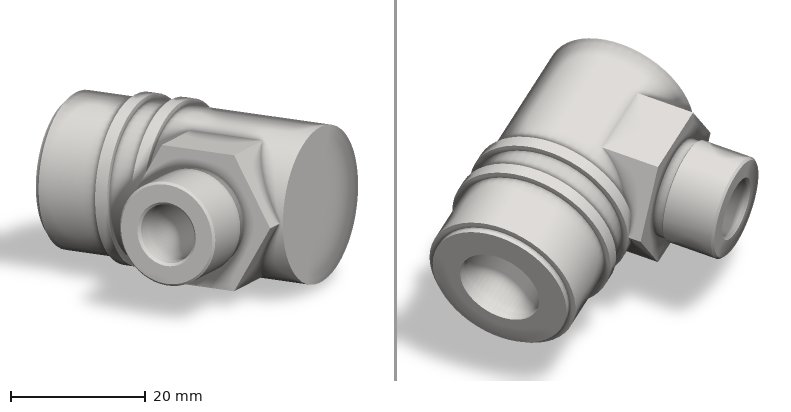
import cadquery as cq
import math

barrel_length = 42.0
barrel_diameter = 24.0
ring_diameter = 26.0
ring_width = 2.0
ring_starts = (11.0, 17.0)

sleeve_diameter = 22.0
sleeve_bore_diameter = 13.0
sleeve_projection = 1.0
sleeve_end = 15.0

port_x = 29.33
hex_across_flats = 21.0
hex_across_corners = hex_across_flats / math.cos(math.pi / 6)
hex_face = 15.0
neck_diameter = 15.4
neck_end = 16.53
spigot_diameter = 16.0
spigot_end = 25.0
spigot_shoulder = 0.2
spigot_chamfer = 0.35

passage_diameter = 9.0
passage_chamfer = 0.4


def barrel_cylinder(diameter, start, end):
    """Cylinder on the barrel axis between two X positions."""
    return cq.Workplane("YZ", origin=(start, 0, 0)).circle(diameter / 2).extrude(end - start)


def port_plane(distance):
    """Plane across the port axis, facing outward, at a distance from the barrel axis."""
    return cq.Workplane("XZ", origin=(port_x, -distance, 0))


def make_port():
    """Hexagon with a round spigot that has a narrow neck, a sloped shoulder and a chamfered tip."""
    hexagon = port_plane(0).polygon(6, hex_across_corners).extrude(hex_face)
    neck_radius = neck_diameter / 2
    spigot_radius = spigot_diameter / 2
    half_profile = [
        (0, -hex_face),
        (neck_radius, -hex_face),
        (neck_radius, -neck_end),
        (spigot_radius, -neck_end - spigot_shoulder),
        (spigot_radius, -spigot_end + spigot_chamfer),
        (spigot_radius - spigot_chamfer, -spigot_end),
        (0, -spigot_end),
    ]
    spigot = cq.Workplane("XY", origin=(port_x, 0, 0)).polyline(half_profile).close()
    spigot = spigot.revolve(360, (0, 0), (0, 1))
    return hexagon.union(spigot)


def make_passage():
    """Round passage from the sleeve to the port mouth, with a mitred corner."""
    corners = [(sleeve_projection, 0), (port_x, 0), (port_x, -spigot_end)]
    path = cq.Workplane("XY").polyline(corners)
    start = cq.Workplane("YZ", origin=(sleeve_projection, 0, 0)).circle(passage_diameter / 2)
    return start.sweep(path, transition="right")


def make_housing():
    """Ringed barrel with its side port, passage and sleeve recess."""
    body = barrel_cylinder(barrel_diameter, sleeve_projection, barrel_length)
    for start in ring_starts:
        body = body.union(barrel_cylinder(ring_diameter, start, start + ring_width))
    body = body.union(make_port())
    body = body.cut(make_passage())
    body = body.cut(barrel_cylinder(sleeve_diameter, sleeve_projection, sleeve_end))
    mouth = port_plane(spigot_end).circle(passage_diameter / 2 + passage_chamfer)
    return body.cut(mouth.extrude(-passage_chamfer, taper=45))


def make_sleeve():
    """Plain tube that stands slightly proud of the barrel mouth."""
    tube = barrel_cylinder(sleeve_diameter, 0, sleeve_end)
    return tube.cut(barrel_cylinder(sleeve_bore_diameter, 0, sleeve_end))


housing = make_housing()
sleeve = make_sleeve()

result = cq.Compound.makeCompound([housing.solids().val(), sleeve.solids().val()])